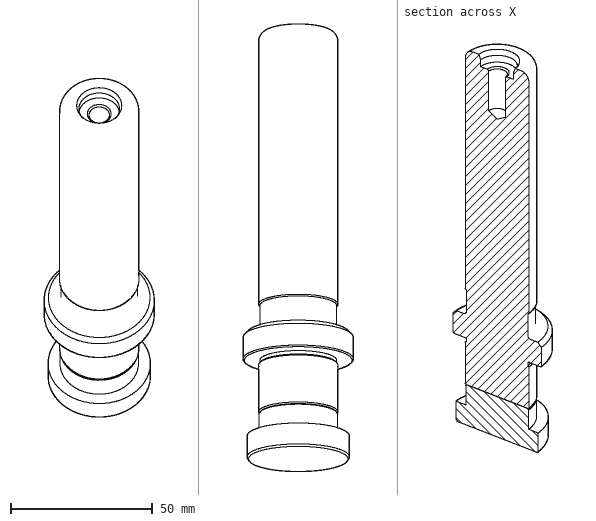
import cadquery as cq
import math

total_height = 156.0
bushing_height = 16.7
bushing_flange_height = 8.5

shaft_radius = 14.0
neck_radius = 13.5
neck_top = 56.5
collar_radius = 19.5
collar_bottom = 36.0
collar_top = 46.0
undercut_bottom = 34.3
collar_top_chamfer = 1.5
collar_bottom_chamfer = 0.5
neck_fillet = 1.1
tip_fillet = 3.6
pillar_end_chamfer = 0.5

mouth_radius = 8.0
recess_radius = 7.2
recess_depth = 4.8
mouth_depth = 2.0
bore_entry_radius = 4.2
bore_radius = 3.6
bore_depth = 21.8
drill_tip_angle = 118.0

bushing_flange_radius = 18.1
bushing_spigot_radius = 13.9
bushing_bottom_chamfer_height = 0.8
bushing_bottom_chamfer_width = 0.5
bushing_top_chamfer = 0.3


def revolve_profile(profile):
    """Revolve a closed XZ profile a full turn about Z."""
    return profile.close().revolve(360, (0, 0, 0), (0, 1, 0))


def make_centre_bore():
    """Cutter with a tapered mouth, a flat-bottomed recess and a drilled hole."""
    recess_floor = total_height - recess_depth
    entry_chamfer = bore_entry_radius - bore_radius
    bore_end = total_height - bore_depth
    tip_height = bore_radius / math.tan(math.radians(drill_tip_angle / 2))
    return revolve_profile(
        cq.Workplane("XZ")
        .moveTo(0, total_height)
        .lineTo(mouth_radius, total_height)
        .lineTo(recess_radius, total_height - mouth_depth)
        .lineTo(recess_radius, recess_floor)
        .lineTo(bore_entry_radius, recess_floor)
        .lineTo(bore_radius, recess_floor - entry_chamfer)
        .lineTo(bore_radius, bore_end)
        .lineTo(0, bore_end - tip_height)
    )


def make_pillar():
    """Guide pillar with a collar, undercuts, a rounded tip and a centre bore."""
    step = shaft_radius - neck_radius
    arc_offset = math.sqrt(0.5)
    fillet_centre_radius = neck_radius + neck_fillet
    fillet_centre_z = collar_top + neck_fillet
    tip_centre_radius = shaft_radius - tip_fillet
    tip_centre_z = total_height - tip_fillet
    neck_arc_middle = (
        fillet_centre_radius - neck_fillet * arc_offset,
        fillet_centre_z - neck_fillet * arc_offset,
    )
    tip_arc_middle = (
        tip_centre_radius + tip_fillet * arc_offset,
        tip_centre_z + tip_fillet * arc_offset,
    )
    body = revolve_profile(
        cq.Workplane("XZ")
        .moveTo(0, bushing_height)
        .lineTo(shaft_radius - pillar_end_chamfer, bushing_height)
        .lineTo(shaft_radius, bushing_height + pillar_end_chamfer)
        .lineTo(shaft_radius, undercut_bottom)
        .lineTo(neck_radius, undercut_bottom + step)
        .lineTo(neck_radius, collar_bottom)
        .lineTo(collar_radius - collar_bottom_chamfer, collar_bottom)
        .lineTo(collar_radius, collar_bottom + collar_bottom_chamfer)
        .lineTo(collar_radius, collar_top - collar_top_chamfer)
        .lineTo(collar_radius - collar_top_chamfer, collar_top)
        .lineTo(fillet_centre_radius, collar_top)
        .threePointArc(neck_arc_middle, (neck_radius, fillet_centre_z))
        .lineTo(neck_radius, neck_top - step)
        .lineTo(shaft_radius, neck_top)
        .lineTo(shaft_radius, tip_centre_z)
        .threePointArc(tip_arc_middle, (tip_centre_radius, total_height))
        .lineTo(0, total_height)
    )
    return body.cut(make_centre_bore())


def make_bushing():
    """Flanged bushing whose flat top carries the pillar."""
    return revolve_profile(
        cq.Workplane("XZ")
        .moveTo(0, 0)
        .lineTo(bushing_flange_radius - bushing_bottom_chamfer_width, 0)
        .lineTo(bushing_flange_radius, bushing_bottom_chamfer_height)
        .lineTo(bushing_flange_radius, bushing_flange_height)
        .lineTo(bushing_spigot_radius, bushing_flange_height)
        .lineTo(bushing_spigot_radius, bushing_height - bushing_top_chamfer)
        .lineTo(bushing_spigot_radius - bushing_top_chamfer, bushing_height)
        .lineTo(0, bushing_height)
    )


pillar = make_pillar()
bushing = make_bushing()
result = cq.Compound.makeCompound([pillar.val(), bushing.val()])